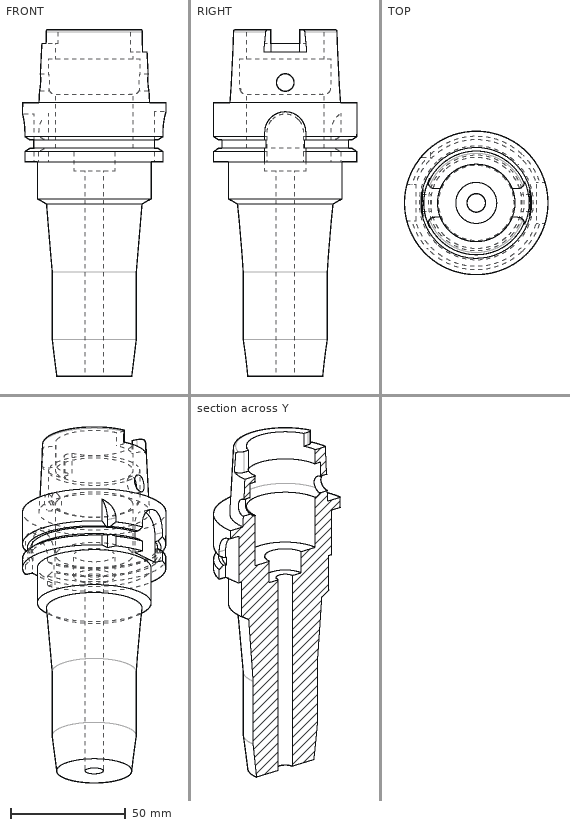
import cadquery as cq
import math


shank_length = 32.0
gauge_radius = 24.0
gauge_height = 6.3
taper_per_length = 1 / 20
shank_rim_round = 1.0

flange_radius = 31.5
flange_thickness = 26.0
groove_root_radius = 27.8
groove_lip_radius = 29.3
groove_center_depth = 18.2
groove_width = 3.6
groove_mouth_width = 6.6

holder_length = 120.0
collar_radius = 25.0
collar_end_depth = 42.2
collar_chamfer_angle = 30.0
neck_radius = 21.0
barrel_radius = 18.5
barrel_top_depth = 74.2
nose_depth = 103.8
nose_radius = 16.5

rim_bore_radius = 17.0
rim_bore_depth = 12.8
clamp_bore_radius = 20.0
clamp_bore_floor = 3.5
lower_bore_floor = -20.0
tube_bore_radius = 9.0
tube_bore_depth = 10.0
coolant_radius = 4.0
cross_hole_radius = 3.8
cross_hole_height = 8.8

notch_width = 12.54
notch_depth_left = 6.0
notch_depth_right = 9.8
notch_edge_round = 3.0

keyway_center_depth = 13.0
keyway_width_left = 16.0
keyway_width_right = 18.0
keyway_floor = 26.5

orientation_offset = 20.0
orientation_round = 10.0


def taper_radius(height):
    return gauge_radius + (gauge_height - height) * taper_per_length


def make_body():
    groove_top = -groove_center_depth + groove_width / 2
    groove_bottom = -groove_center_depth - groove_width / 2
    mouth_top = -groove_center_depth + groove_mouth_width / 2
    mouth_bottom = -groove_center_depth - groove_mouth_width / 2
    chamfer_height = (collar_radius - neck_radius) * math.tan(math.radians(collar_chamfer_angle))
    outline = [
        (0, shank_length),
        (taper_radius(shank_length), shank_length),
        (taper_radius(0), 0),
        (flange_radius, 0),
        (flange_radius, mouth_top),
        (groove_lip_radius, groove_top),
        (groove_root_radius, groove_top),
        (groove_root_radius, groove_bottom),
        (groove_lip_radius, groove_bottom),
        (flange_radius, mouth_bottom),
        (flange_radius, -flange_thickness),
        (collar_radius, -flange_thickness),
        (collar_radius, -collar_end_depth),
        (neck_radius, -collar_end_depth - chamfer_height),
        (barrel_radius, -barrel_top_depth),
        (barrel_radius, -nose_depth),
        (nose_radius, -holder_length),
        (0, -holder_length),
    ]
    body = cq.Workplane("XZ").polyline(outline).close().revolve(360, (0, 0, 0), (0, 1, 0))
    return body.faces(">Z").edges().fillet(shank_rim_round)


def make_bores():
    clamp_bore_round = clamp_bore_radius - rim_bore_radius
    round_center_height = clamp_bore_floor + clamp_bore_round
    turn = clamp_bore_round * math.sqrt(0.5)
    clamp_bore_top = shank_length - rim_bore_depth
    outline = [
        (0, shank_length),
        (rim_bore_radius, shank_length),
        (rim_bore_radius, clamp_bore_top),
        (clamp_bore_radius, clamp_bore_top),
        (clamp_bore_radius, round_center_height),
    ]
    tube_bore_floor = lower_bore_floor - tube_bore_depth
    return (
        cq.Workplane("XZ")
        .polyline(outline)
        .threePointArc(
            (rim_bore_radius + turn, round_center_height - turn),
            (rim_bore_radius, clamp_bore_floor),
        )
        .lineTo(rim_bore_radius, lower_bore_floor)
        .lineTo(tube_bore_radius, lower_bore_floor)
        .lineTo(tube_bore_radius, tube_bore_floor)
        .lineTo(coolant_radius, tube_bore_floor)
        .lineTo(coolant_radius, -holder_length)
        .lineTo(0, -holder_length)
        .close()
        .revolve(360, (0, 0, 0), (0, 1, 0))
    )


def make_cross_hole():
    return (
        cq.Workplane("YZ")
        .center(0, cross_hole_height)
        .circle(cross_hole_radius)
        .extrude(flange_radius, both=True)
    )


def make_rim_notch(side, depth):
    """Notch open to the rim on one side (-1 or +1 along X), flared by rounds at its outer end."""
    half = notch_width / 2
    floor_height = shank_length - depth
    meeting_radius = taper_radius(shank_length - (notch_depth_left + notch_depth_right) / 2)
    outer = math.sqrt(meeting_radius**2 - (half + notch_edge_round) ** 2)
    flare_start = outer - notch_edge_round
    turn = notch_edge_round * math.sqrt(0.5)
    flare_mid = (flare_start + turn, half + notch_edge_round - turn)
    return (
        cq.Workplane("XY", origin=(0, 0, floor_height))
        .moveTo(0, -half)
        .lineTo(side * flare_start, -half)
        .threePointArc((side * flare_mid[0], -flare_mid[1]), (side * outer, -half - notch_edge_round))
        .lineTo(side * flange_radius, -half - notch_edge_round)
        .lineTo(side * flange_radius, half + notch_edge_round)
        .lineTo(side * outer, half + notch_edge_round)
        .threePointArc((side * flare_mid[0], flare_mid[1]), (side * flare_start, half))
        .lineTo(0, half)
        .close()
        .extrude(depth)
    )


def make_keyway(side, width):
    """Round-topped keyway open to the underside of the flange."""
    half = width / 2
    return (
        cq.Workplane("YZ", origin=(side * keyway_floor, 0, 0))
        .moveTo(-half, -flange_thickness)
        .lineTo(-half, -keyway_center_depth)
        .threePointArc((0, half - keyway_center_depth), (half, -keyway_center_depth))
        .lineTo(half, -flange_thickness)
        .close()
        .extrude(side * flange_radius)
    )


def make_orientation_notch():
    """Corner notch on the -X +Y side with a rounded upper inner corner."""
    round_center = orientation_offset + orientation_round
    turn = orientation_round * math.sqrt(0.5)
    top = orientation_round - keyway_center_depth
    return (
        cq.Workplane("YZ", origin=(-orientation_offset, 0, 0))
        .moveTo(orientation_offset, -flange_thickness)
        .lineTo(orientation_offset, -keyway_center_depth)
        .threePointArc((round_center - turn, turn - keyway_center_depth), (round_center, top))
        .lineTo(flange_radius, top)
        .lineTo(flange_radius, -flange_thickness)
        .close()
        .extrude(-flange_radius)
    )


result = (
    make_body()
    .cut(make_bores())
    .cut(make_cross_hole())
    .cut(make_rim_notch(-1, notch_depth_left))
    .cut(make_rim_notch(1, notch_depth_right))
    .cut(make_keyway(-1, keyway_width_left))
    .cut(make_keyway(1, keyway_width_right))
    .cut(make_orientation_notch())
)